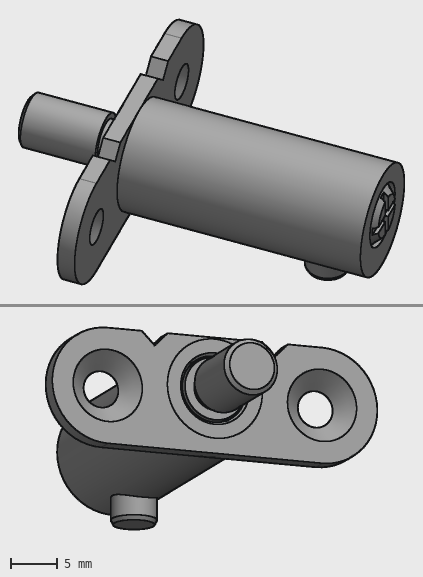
import cadquery as cq


total_length = 41.95
overall_height = 15.45
plate_front = 11.05
plate_thickness = 2.0
rear_projection = 0.5
housing_rear = total_length - rear_projection
plate_rear = plate_front + plate_thickness

plate_length = 37.9
plate_height = 12.92
body_radius = plate_height / 2
body_center_z = -0.75
screw_spacing = plate_length - plate_height
screw_radius = 2.0
countersink_radius = 4.03
notch_offset = 7.0
notch_depth = 1.5

spigot_radius = 5.55
bore_radius = 3.7
mouth_chamfer = 0.3

nose_radius = 3.1
nose_length = 9.15
nose_chamfer_length = 0.4
nose_chamfer_radial = 0.5
neck_radius = 2.45
piston_radius = 3.5
piston_front = plate_front
piston_chamfer = 1.0
slot_width = 0.9

peg_x = 35.08
peg_radius = 2.5
peg_bottom = body_center_z + body_radius - overall_height
peg_chamfer_height = 0.5
peg_chamfer_radial = 0.25


def rod(radius, start, end, center_z=0):
    """Cylinder along X."""
    return cq.Workplane("YZ", origin=(start, 0, center_z)).circle(radius).extrude(end - start)


def make_plate():
    plate = (
        cq.Workplane("YZ", origin=(plate_front, 0, body_center_z))
        .slot2D(plate_length, plate_height)
        .extrude(plate_thickness)
    )
    plate = plate.cut(rod(spigot_radius, plate_front, plate_rear))
    top = body_center_z + body_radius
    countersink_profile = [
        (plate_front, 0),
        (plate_front, countersink_radius),
        (plate_rear, screw_radius),
        (plate_rear, 0),
    ]
    countersink = cq.Workplane("XY").polyline(countersink_profile).close().revolve(360, (0, 0), (1, 0))
    for side in (-1, 1):
        plate = plate.cut(countersink.translate((0, side * screw_spacing / 2, body_center_z)))
        notch_y = side * notch_offset
        notch = (
            cq.Workplane("YZ", origin=(plate_front, 0, 0))
            .moveTo(notch_y - notch_depth, top)
            .lineTo(notch_y, top - notch_depth)
            .lineTo(notch_y + notch_depth, top)
            .close()
            .extrude(plate_thickness)
        )
        plate = plate.cut(notch)
    return plate


def make_housing():
    """Barrel with a spigot through the plate, a through bore and a peg hole below."""
    housing = rod(body_radius, plate_rear, housing_rear, body_center_z)
    housing = housing.union(rod(spigot_radius, plate_front, plate_rear))
    housing = housing.cut(rod(bore_radius, plate_front, housing_rear))
    mouth_profile = [
        (plate_front, 0),
        (plate_front, bore_radius + mouth_chamfer),
        (plate_front + mouth_chamfer, bore_radius),
        (plate_front + mouth_chamfer, 0),
    ]
    mouth = cq.Workplane("XY").polyline(mouth_profile).close().revolve(360, (0, 0), (1, 0))
    peg_hole = (
        cq.Workplane("XY", origin=(peg_x, 0, peg_bottom))
        .circle(peg_radius)
        .extrude(-peg_bottom)
    )
    return housing.cut(mouth).cut(peg_hole)


def make_plunger():
    """Turned plunger with a cross-slotted rear end and a downward peg."""
    profile = [
        (0, 0),
        (0, nose_radius - nose_chamfer_radial),
        (nose_chamfer_length, nose_radius),
        (nose_length, nose_radius),
        (nose_length, neck_radius),
        (piston_front, neck_radius),
        (piston_front, piston_radius),
        (total_length - piston_chamfer, piston_radius),
        (total_length, piston_radius - piston_chamfer),
        (total_length, 0),
    ]
    plunger = cq.Workplane("XY").polyline(profile).close().revolve(360, (0, 0), (1, 0))
    slot_length = 2 * piston_radius
    slot_center_x = housing_rear + rear_projection / 2
    slot = cq.Workplane("XY").box(rear_projection, slot_length, slot_width)
    for angle in (0, 90):
        turned_slot = slot.rotate((0, 0, 0), (1, 0, 0), angle)
        plunger = plunger.cut(turned_slot.translate((slot_center_x, 0, 0)))
    peg_profile = [
        (0, 0),
        (peg_radius, 0),
        (peg_radius, peg_bottom + peg_chamfer_height),
        (peg_radius - peg_chamfer_radial, peg_bottom),
        (0, peg_bottom),
    ]
    peg = cq.Workplane("XZ").polyline(peg_profile).close().revolve(360, (0, 0), (0, 1))
    return plunger.union(peg.translate((peg_x, 0, 0)))


plate = make_plate()
housing = make_housing()
plunger = make_plunger()

result = cq.Compound.makeCompound([plate.val(), housing.val(), plunger.val()])